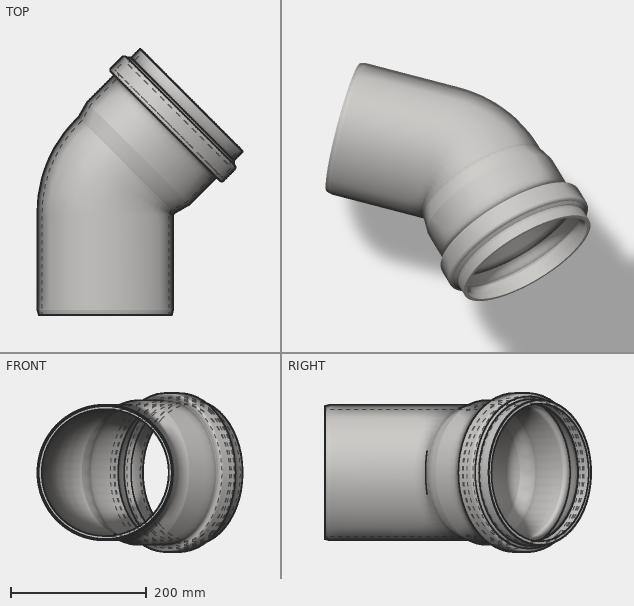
import cadquery as cq
import math


BEND_ANGLE = 45.0
BEND_RADIUS = 95.0
PIPE_OUTER_R = 200.2 / 2
PIPE_BORE_R = 187.2 / 2
SPIGOT_LENGTH = 150.5
TIP_CHAMFER_LENGTH = 8.0
TIP_CHAMFER_ANGLE = 15.0

SOCKET_OUTER_R = 213.3 / 2
SOCKET_BORE_R = 201.5 / 2
MOUTH_OUTER_R = 214.3 / 2
MOUTH_BORE_R = 202.5 / 2
COLLAR_OUTER_R = 234.8 / 2
GROOVE_R = 223.0 / 2
SOCKET_WALL = COLLAR_OUTER_R - GROOVE_R

CONE_START = 5.5
OUTER_CONE_END = 29.3
BORE_CONE_END = 30.5
COLLAR_BACK = 85.9
COLLAR_FRONT = 117.5
GROOVE_BACK = COLLAR_BACK + SOCKET_WALL
GROOVE_FRONT = COLLAR_FRONT - SOCKET_WALL
SOCKET_LENGTH = 140.55

SHOULDER_ANGLE = 45.0
SHOULDER_LENGTH = 4.0
SHOULDER_OUTER_TOP_R = 112.2
SHOULDER_BORE_TOP_R = 108.4
SHOULDER_BORE_LENGTH = 5.6

COLLAR_BACK_ROUND = 3.3
COLLAR_FRONT_ROUND = 4.5
COLLAR_BACK_BLEND = 2.0
GROOVE_BACK_ROUND = 6.0
SHOULDER_BORE_ROUND = 2.4
MOUTH_ROUND = 0.6
MOUTH_BORE_ROUND = 1.5
MOUTH_CHAMFER = 0.5


def spigot_outer():
    """Spigot cylinder along Y with its tapered insertion tip."""
    tip_r = PIPE_OUTER_R - TIP_CHAMFER_LENGTH * math.tan(math.radians(TIP_CHAMFER_ANGLE))
    return (
        cq.Workplane("XY")
        .moveTo(0, -SPIGOT_LENGTH)
        .lineTo(tip_r, -SPIGOT_LENGTH)
        .lineTo(PIPE_OUTER_R, TIP_CHAMFER_LENGTH - SPIGOT_LENGTH)
        .lineTo(PIPE_OUTER_R, 0)
        .lineTo(0, 0)
        .close()
        .revolve(360, (0, 0, 0), (0, 1, 0))
    )


def spigot_bore():
    """Bore through the spigot."""
    return cq.Workplane("XZ").circle(PIPE_BORE_R).extrude(SPIGOT_LENGTH)


def bend(radius):
    """Solid bend of a round section, cut off at the bend axis where the section reaches past it."""
    section = cq.Workplane("XZ")
    if radius < BEND_RADIUS:
        section = section.circle(radius)
    else:
        half_chord = math.sqrt(radius**2 - BEND_RADIUS**2)
        section = (
            section.moveTo(BEND_RADIUS, -half_chord)
            .threePointArc((-radius, 0), (BEND_RADIUS, half_chord))
            .close()
        )
    return section.revolve(BEND_ANGLE, (BEND_RADIUS, 1, 0), (BEND_RADIUS, 0, 0))


def socket_outer():
    """Outside of the socket about the Y axis: cone, barrel, rounded collar, shoulder and mouth."""
    shoulder_end = COLLAR_FRONT + SHOULDER_LENGTH
    drop = SHOULDER_LENGTH * math.tan(math.radians(SHOULDER_ANGLE))
    return (
        cq.Workplane("XY")
        .lineTo(PIPE_OUTER_R, 0)
        .lineTo(PIPE_OUTER_R, CONE_START)
        .lineTo(SOCKET_OUTER_R, OUTER_CONE_END)
        .lineTo(SOCKET_OUTER_R, COLLAR_BACK - COLLAR_BACK_BLEND)
        .radiusArc((SOCKET_OUTER_R + COLLAR_BACK_BLEND, COLLAR_BACK), COLLAR_BACK_BLEND)
        .lineTo(COLLAR_OUTER_R - COLLAR_BACK_ROUND, COLLAR_BACK)
        .radiusArc((COLLAR_OUTER_R, COLLAR_BACK + COLLAR_BACK_ROUND), -COLLAR_BACK_ROUND)
        .lineTo(COLLAR_OUTER_R, COLLAR_FRONT - COLLAR_FRONT_ROUND)
        .radiusArc((COLLAR_OUTER_R - COLLAR_FRONT_ROUND, COLLAR_FRONT), -COLLAR_FRONT_ROUND)
        .lineTo(SHOULDER_OUTER_TOP_R, COLLAR_FRONT)
        .lineTo(SHOULDER_OUTER_TOP_R - drop, shoulder_end)
        .lineTo(MOUTH_OUTER_R + MOUTH_ROUND, shoulder_end)
        .radiusArc((MOUTH_OUTER_R, shoulder_end + MOUTH_ROUND), MOUTH_ROUND)
        .lineTo(MOUTH_OUTER_R, SOCKET_LENGTH - MOUTH_CHAMFER)
        .lineTo(MOUTH_OUTER_R - MOUTH_CHAMFER, SOCKET_LENGTH)
        .lineTo(0, SOCKET_LENGTH)
        .close()
        .revolve(360, (0, 0, 0), (0, 1, 0))
    )


def socket_bore():
    """Inside of the socket about the Y axis, with the seal groove behind the mouth."""
    shoulder_end = GROOVE_FRONT + SHOULDER_BORE_LENGTH
    drop = SHOULDER_BORE_LENGTH * math.tan(math.radians(SHOULDER_ANGLE))
    round_tangent = SHOULDER_BORE_ROUND * math.tan(math.radians(SHOULDER_ANGLE / 2))
    round_drop = round_tangent * math.sin(math.radians(SHOULDER_ANGLE))
    round_advance = round_tangent * math.cos(math.radians(SHOULDER_ANGLE))
    return (
        cq.Workplane("XY")
        .lineTo(PIPE_BORE_R, 0)
        .lineTo(PIPE_BORE_R, CONE_START)
        .lineTo(SOCKET_BORE_R, BORE_CONE_END)
        .lineTo(SOCKET_BORE_R, GROOVE_BACK - GROOVE_BACK_ROUND)
        .radiusArc((SOCKET_BORE_R + GROOVE_BACK_ROUND, GROOVE_BACK), GROOVE_BACK_ROUND)
        .lineTo(GROOVE_R, GROOVE_BACK)
        .lineTo(GROOVE_R, GROOVE_FRONT)
        .lineTo(SHOULDER_BORE_TOP_R + round_tangent, GROOVE_FRONT)
        .radiusArc((SHOULDER_BORE_TOP_R - round_drop, GROOVE_FRONT + round_advance), SHOULDER_BORE_ROUND)
        .lineTo(SHOULDER_BORE_TOP_R - drop, shoulder_end)
        .lineTo(MOUTH_BORE_R + MOUTH_BORE_ROUND, shoulder_end)
        .radiusArc((MOUTH_BORE_R, shoulder_end + MOUTH_BORE_ROUND), MOUTH_BORE_ROUND)
        .lineTo(MOUTH_BORE_R, SOCKET_LENGTH)
        .lineTo(0, SOCKET_LENGTH)
        .close()
        .revolve(360, (0, 0, 0), (0, 1, 0))
    )


def at_bend_end(body):
    """Swing a body built along the spigot axis round the bend axis to the end of the bend."""
    return body.rotate((BEND_RADIUS, 0, 0), (BEND_RADIUS, 0, 1), -BEND_ANGLE)


outside = spigot_outer().union(bend(PIPE_OUTER_R)).union(at_bend_end(socket_outer()))
inside = spigot_bore().union(bend(PIPE_BORE_R)).union(at_bend_end(socket_bore()))
result = outside.cut(inside)